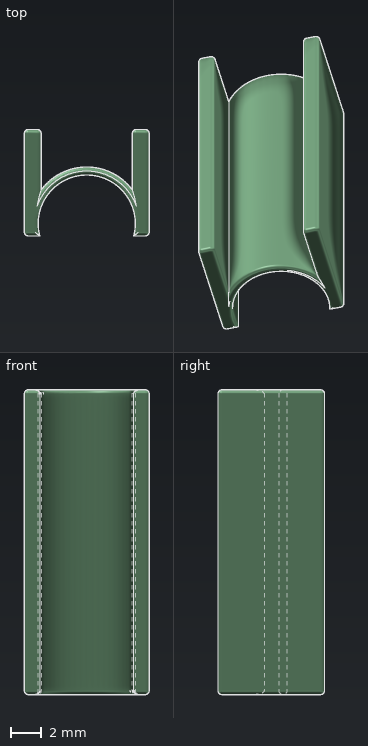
import cadquery as cq

width = 8.2
depth = 7
length = 20

plate_thickness = 1.12
edge_radius = 0.28

axis_y = 0.82
bore_radius = 3.18
wall_thickness = 0.55
wall_radius = bore_radius + wall_thickness

mouth_y = 0
end_z = length / 2
plate_x = (width - plate_thickness) / 2


def side_plate(x):
    """Upright plate running the full depth and length."""
    return cq.Workplane("XY").box(plate_thickness, depth, length).translate((x, mouth_y + depth / 2, 0))


def wall_core():
    """Solid cylinder cut flat at the mouth."""
    cylinder = (
        cq.Workplane("XY")
        .center(0, axis_y)
        .circle(wall_radius)
        .extrude(end_z, both=True)
    )
    behind_mouth = cq.Workplane("XY").box(width, depth, length).translate((0, mouth_y + depth / 2, 0))
    return cylinder.intersect(behind_mouth)


def rounded_body():
    """Plates and solid core joined, with the end rims and plate corners rounded."""
    body = wall_core()
    for side in (-1, 1):
        body = body.union(side_plate(side * plate_x))
    end_rims = body.faces("<Z or >Z").edges()
    plate_corners = body.faces("<X or >X or >Y").edges("|Z")
    return body.newObject(end_rims.vals() + plate_corners.vals()).fillet(edge_radius)


def bore():
    """Round bore that flares with a rounded rim at both ends."""
    rim_radius = bore_radius + edge_radius
    flare_z = end_z - edge_radius
    arc_offset = edge_radius * 0.5**0.5
    arc_middle = (rim_radius - arc_offset, flare_z + arc_offset)
    return (
        cq.Workplane("XZ")
        .lineTo(bore_radius, 0)
        .lineTo(bore_radius, flare_z)
        .threePointArc(arc_middle, (rim_radius, end_z))
        .lineTo(0, end_z)
        .close()
        .revolve(360, (0, 0), (0, 1))
        .mirror("XY", union=True)
        .translate((0, axis_y, 0))
    )


result = rounded_body().cut(bore())